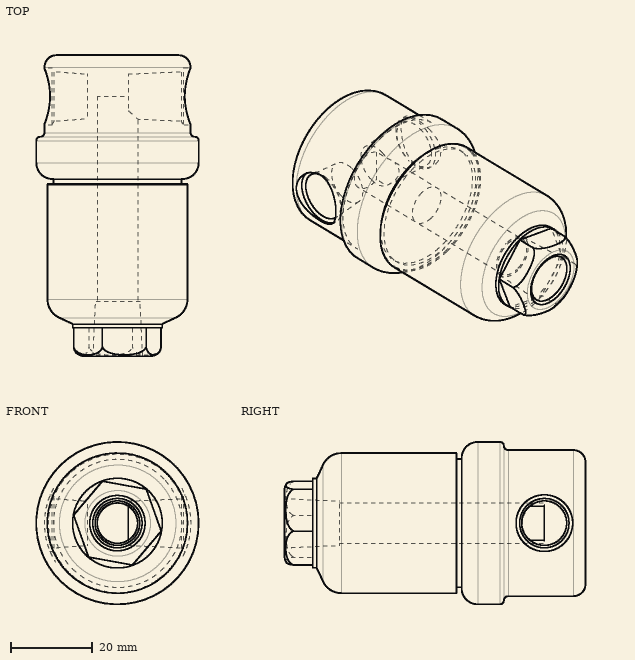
import cadquery as cq
import math


hex_across_flats = 18.95
hex_angle = -10.3
hex_end_round = 2.95
ring_start = 6.95
ring_end = 7.9
ring_radius = 11.0
cap_radius = 17.25
cap_end = 42.4
cap_edge_chamfer = 0.2
dome_round = 5.0
dome_cone_angle = math.radians(25)
neck_radius = 15.8

head_start = 43.55
head_end = 74.05
flange_radius = 20.0
flange_front_round = 4.0
flange_back = 54.0
barrel_radius = 18.0
barrel_round = 3.0
step_round = (flange_radius - barrel_radius) / 2

thread_entry_radius = 6.1
thread_end_radius = 5.5
thread_depth = 13.5
countersink_slope = math.radians(30)

side_port_y = head_end - 10.15
recess_radius = 6.95
recess_floor_x = 16.15
outlet_depth = thread_depth
inlet_depth = 8.75

axial_mouth_radius = 6.8
passage_radius = 4.95
passage_end = side_port_y


def revolve_about_y(profile):
    return profile.close().revolve(360, (0, 0, 0), (0, 1, 0))


def cylinder_along_y(radius, start, end):
    return cq.Workplane("XZ", origin=(0, start, 0)).circle(radius).extrude(start - end)


def make_hexagon():
    """Hexagon whose open end is rounded off by a turned outline."""
    corner_diameter = hex_across_flats / math.cos(math.pi / 6)
    prism = (
        cq.Workplane("XZ")
        .transformed(rotate=(0, 0, hex_angle))
        .polygon(6, corner_diameter)
        .extrude(-ring_start)
    )
    envelope = cylinder_along_y(ring_radius, 0, ring_start).faces("<Y").edges().fillet(hex_end_round)
    return prism.intersect(envelope)


def make_cap_body():
    """Ring, cone, rounded shoulder, cylinder and neck in one turned profile."""
    sweep = math.pi / 2 - dome_cone_angle
    center_r = cap_radius - dome_round
    cone_r = center_r + dome_round * math.cos(sweep)
    cone_y = ring_end + (cone_r - ring_radius) * math.tan(dome_cone_angle)
    center_y = cone_y + dome_round * math.sin(sweep)
    middle = (
        center_r + dome_round * math.cos(sweep / 2),
        center_y - dome_round * math.sin(sweep / 2),
    )
    profile = (
        cq.Workplane("XY")
        .moveTo(0, ring_start)
        .lineTo(ring_radius, ring_start)
        .lineTo(ring_radius, ring_end)
        .lineTo(cone_r, cone_y)
        .threePointArc(middle, (cap_radius, center_y))
        .lineTo(cap_radius, cap_end - cap_edge_chamfer)
        .lineTo(cap_radius - cap_edge_chamfer, cap_end)
        .lineTo(neck_radius, cap_end)
        .lineTo(neck_radius, head_start)
        .lineTo(0, head_start)
    )
    return revolve_about_y(profile)


def make_head_body():
    """Flange and barrel joined by a pair of opposite rounds."""
    profile = (
        cq.Workplane("XY")
        .moveTo(0, head_start)
        .lineTo(flange_radius - flange_front_round, head_start)
        .radiusArc((flange_radius, head_start + flange_front_round), -flange_front_round)
        .lineTo(flange_radius, flange_back - step_round)
        .radiusArc((flange_radius - step_round, flange_back), -step_round)
        .radiusArc((barrel_radius, flange_back + step_round), step_round)
        .lineTo(barrel_radius, head_end - barrel_round)
        .radiusArc((barrel_radius - barrel_round, head_end), -barrel_round)
        .lineTo(0, head_end)
    )
    return revolve_about_y(profile)


def make_threaded_bore(mouth_radius, depth):
    """Countersink and tapered bore running from the origin along +Y."""
    countersink_depth = (mouth_radius - thread_entry_radius) * math.tan(countersink_slope)
    profile = (
        cq.Workplane("XY")
        .lineTo(mouth_radius, 0)
        .lineTo(thread_entry_radius, countersink_depth)
        .lineTo(thread_end_radius, depth)
        .lineTo(0, depth)
    )
    return revolve_about_y(profile)


def make_axial_port():
    """Threaded bore in the hexagon and the passage that goes on into the head."""
    passage = cylinder_along_y(passage_radius, 0, passage_end)
    return make_threaded_bore(axial_mouth_radius, thread_depth).union(passage)


def make_side_port(depth):
    """Port on the +X side: recess, countersink and tapered bore."""
    recess = cylinder_along_y(recess_radius, recess_floor_x - flange_radius, 0)
    bore = make_threaded_bore(recess_radius, depth)
    port = recess.union(bore).rotate((0, 0, 0), (0, 0, 1), 90)
    return port.translate((recess_floor_x, side_port_y, 0))


axial_port = make_axial_port()
outlet = make_side_port(outlet_depth)
inlet = make_side_port(inlet_depth).mirror("YZ")

cap = make_hexagon().union(make_cap_body()).cut(axial_port)
head = make_head_body().cut(axial_port).cut(inlet).cut(outlet)

result = cq.Compound.makeCompound([cap.val(), head.val()])